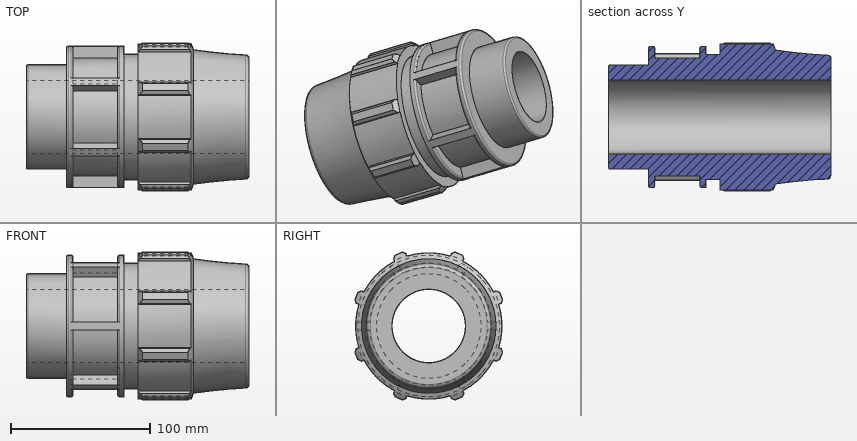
import cadquery as cq
import math

total_length = 160.0
bore_diameter = 52.6

spigot_diameter = 75.2
spigot_fillet = 1.3

collar_start = 28.6
collar_end = 70.0
collar_diameter = 101.8
collar_fillet = 1.5
window_start = 33.5
window_end = 65.6
window_floor_diameter = 84.8
window_edge_fillet = 1.5
spoke_count = 6
spoke_width = 6.0

neck_diameter = 90.4

nut_start = 80.2
nut_end = 120.0
nut_diameter = 105.3
nut_rounding_length = 4.0
nut_rounding_bulge = 0.5

rib_count = 8
rib_top_radius = 56.3
rib_shoulder_radius = 54.4
rib_top_width = 5.8
rib_base_width = 9.8
rib_front_chamfer = 3.4

tail_start_diameter = 96.6
tail_end_diameter = 89.0
tail_sag = 0.5
tail_fillet = 2.5


def cylinder(diameter, start, end):
    """Solid cylinder along X between two stations."""
    return cq.Workplane("YZ", origin=(start, 0, 0)).circle(diameter / 2).extrude(end - start)


def ring(outer_diameter, inner_diameter, start, end):
    return cylinder(outer_diameter, start, end).cut(cylinder(inner_diameter, start, end))


def spigot():
    return cylinder(spigot_diameter, 0, collar_start).faces("<X").edges().fillet(spigot_fillet)


def collar():
    """Flanged collar; the windows leave axial spokes between the two flanges."""
    body = cylinder(collar_diameter, collar_start, collar_end)
    body = body.faces("<X").edges().fillet(collar_fillet)
    windows = ring(collar_diameter, window_floor_diameter, window_start, window_end)
    mouth_radius = collar_diameter / 2
    mouth_depth = mouth_radius - window_edge_fillet
    mouth_start = window_start - window_edge_fillet
    mouth_end = window_end + window_edge_fillet
    bulge = window_edge_fillet * (1 - math.sqrt(0.5))
    mouth = (
        cq.Workplane("XY")
        .moveTo(mouth_start, mouth_radius)
        .threePointArc((window_start - bulge, mouth_radius - bulge), (window_start, mouth_depth))
        .lineTo(window_end, mouth_depth)
        .threePointArc((window_end + bulge, mouth_radius - bulge), (mouth_end, mouth_radius))
        .close()
        .revolve(360, (0, 0, 0), (1, 0, 0))
    )
    windows = windows.union(mouth)
    for index in range(spoke_count // 2):
        spoke = (
            cq.Workplane("XY")
            .box(total_length, collar_diameter, spoke_width)
            .translate((total_length / 2, 0, 0))
            .rotate((0, 0, 0), (1, 0, 0), index * 360 / spoke_count)
        )
        windows = windows.cut(spoke)
    return body.cut(windows)


def grip_rib():
    """One rib pointing along +Z, with sloped flanks and a sloped front end."""
    half_top = rib_top_width / 2
    half_base = rib_base_width / 2
    rib_root = neck_diameter / 2
    section = (
        cq.Workplane("YZ", origin=(nut_start, 0, 0))
        .polyline(
            [
                (-half_base, rib_root),
                (-half_base, rib_shoulder_radius),
                (-half_top, rib_top_radius),
                (half_top, rib_top_radius),
                (half_base, rib_shoulder_radius),
                (half_base, rib_root),
            ]
        )
        .close()
        .extrude(nut_end - nut_start)
    )
    side = (
        cq.Workplane("XZ")
        .polyline(
            [
                (nut_start, rib_root),
                (nut_start, rib_top_radius - rib_front_chamfer),
                (nut_start + rib_front_chamfer, rib_top_radius),
                (nut_end, rib_top_radius),
                (nut_end, rib_root),
            ]
        )
        .close()
        .extrude(rib_base_width, both=True)
    )
    return section.intersect(side)


def nut():
    """Ribbed ring whose back end rounds down to the tail, across ring and ribs alike."""
    body = cylinder(nut_diameter, nut_start, nut_end)
    rib = grip_rib()
    for index in range(rib_count):
        angle = (index + 0.5) * 360 / rib_count
        body = body.union(rib.rotate((0, 0, 0), (1, 0, 0), angle))
    corner_radius = math.hypot(rib_top_radius, rib_top_width / 2)
    rounding_start = nut_end - nut_rounding_length
    tail_radius = tail_start_diameter / 2
    drop = corner_radius - tail_radius
    slope_length = math.hypot(nut_rounding_length, drop)
    rounding_middle = (
        (rounding_start + nut_end) / 2 + nut_rounding_bulge * drop / slope_length,
        (corner_radius + tail_radius) / 2 + nut_rounding_bulge * nut_rounding_length / slope_length,
    )
    envelope = (
        cq.Workplane("XY")
        .moveTo(nut_start, 0)
        .lineTo(nut_start, corner_radius)
        .lineTo(rounding_start, corner_radius)
        .threePointArc(rounding_middle, (nut_end, tail_radius))
        .lineTo(nut_end, 0)
        .close()
        .revolve(360, (0, 0, 0), (1, 0, 0))
    )
    return body.intersect(envelope)


def tail():
    """Slightly hollow taper with a rounded end rim."""
    start_radius = tail_start_diameter / 2
    end_radius = tail_end_diameter / 2
    middle = ((nut_end + total_length) / 2, (start_radius + end_radius) / 2 - tail_sag)
    return (
        cq.Workplane("XY")
        .moveTo(nut_end, 0)
        .lineTo(nut_end, start_radius)
        .threePointArc(middle, (total_length, end_radius))
        .lineTo(total_length, 0)
        .close()
        .revolve(360, (0, 0, 0), (1, 0, 0))
        .faces(">X")
        .edges()
        .fillet(tail_fillet)
    )


result = (
    spigot()
    .union(collar())
    .union(cylinder(neck_diameter, collar_end, nut_start))
    .union(nut())
    .union(tail())
    .cut(cylinder(bore_diameter, 0, total_length))
)